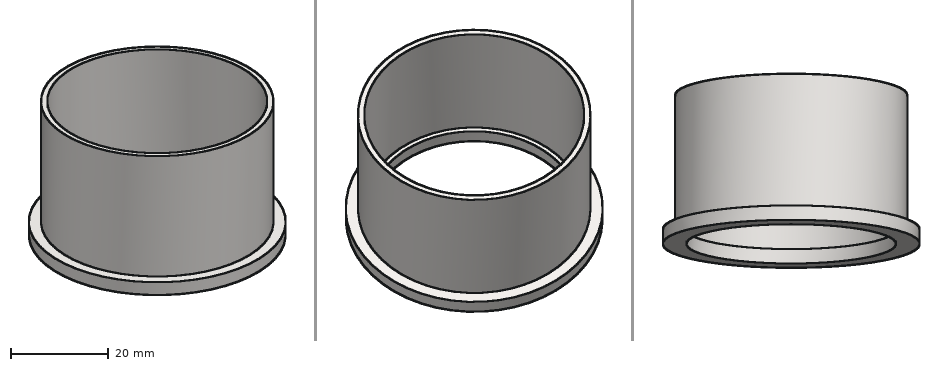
import cadquery as cq

flange_diameter = 52.75
total_height = 31.0

flange_thickness = 3.0
sleeve_diameter = 47.75

socket_diameter = 45.15
opening_diameter = 43.0
ledge_height = flange_thickness


def cylinder(diameter, bottom, top):
    """Upright cylinder on the Z axis between two heights."""
    return cq.Workplane("XY").workplane(offset=bottom).circle(diameter / 2).extrude(top - bottom)


flange = cylinder(flange_diameter, 0, flange_thickness)
sleeve = cylinder(sleeve_diameter, 0, total_height)
opening = cylinder(opening_diameter, 0, total_height)
socket = cylinder(socket_diameter, ledge_height, total_height)

result = flange.union(sleeve).cut(opening).cut(socket)